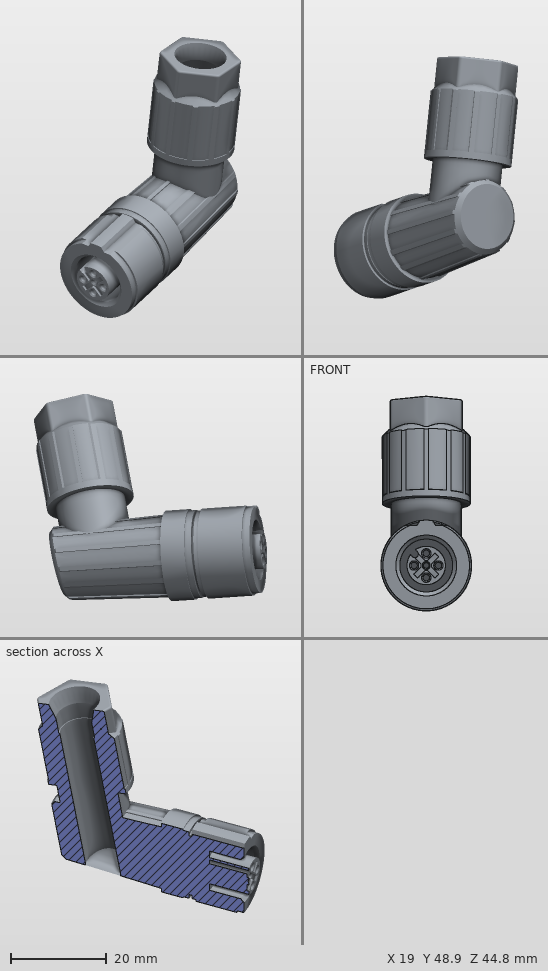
import cadquery as cq
import math


PLUG_RADIUS = 4.0
PIN_OFFSET = 2.55
PIN_HOLE_RADIUS = 0.7
PIN_MOUTH_RADIUS = 1.0
CENTRE_HOLE_RADIUS = 0.6
CENTRE_MOUTH_RADIUS = 0.85
PIN_HOLE_DEPTH = 2.95
CROSS_ANGLES = (45, -45)
CROSS_ARM_WIDTH = 1.1
CROSS_ARM_REACH = 3.15
CROSS_CENTRE_WIDTH = 2.1
CROSS_DEPTH = 0.5
KEY_ANGLE = 45
KEY_WIDTH = 1.45
KEY_FLOOR_RADIUS = 2.65

RING_FRONT = 1.15
RING_BACK = 13.15
FRONT_RIM = 1.55
BACK_RIM = 1.0
RING_RADIUS = 9.5
RIM_RADIUS = 9.05
SOCKET_RADIUS = 5.5
SOCKET_MOUTH_RADIUS = 6.35
SOCKET_DEPTH = 7.8
FLAT_HEIGHT = 8.35
MARKER_TOP_WIDTH = 2.55
MARKER_BASE_WIDTH = 3.9
NECKING_RADIUS = 8.2
NECKING_BACK = 13.65
COLLAR_STEP_RADIUS = 9.2
COLLAR_STEP_BACK = 15.0
COLLAR_BACK = 20.1

BODY_RADIUS = 8.85
BODY_TAPER = 2.3
BODY_LENGTH = 31.75
BODY_END_CHAMFER = 1.2

LEAN = 10.0
OUTLET_Y = 34.55
NECK_RADIUS = 7.35
NUT_RADIUS = 9.2
NUT_BOTTOM = 13.15
NUT_SHOULDER = 27.28
NUT_TOP = 34.45
SHOULDER_TAPER = 45
NUT_BAND = 1.4
HEX_FLATS = 15.05
HEX_CORNER_FILLET = 1.0
HEX_TOP_FILLET = 0.45
BORE_RADIUS = 4.25
BORE_FLOOR_WALL = 0.5
ENTRY_RADIUS = 4.45
ENTRY_DEPTH = 7.35
FUNNEL_RADIUS = 5.47
FUNNEL_DEPTH = 3.5

NUT_BARS = ((0, 0.9), (4.7, 0.95), (7.9, 0.6))
BODY_BARS = ((0, 0.95), (4.25, 0.95), (7.25, 0.7))
CROSS_BAR_WIDTH = 0.9
NUT_PANEL_DEPTH = 0.2
BODY_PANEL_DEPTH = 0.3
RIB_REACH = 2 * RING_RADIUS

OVERLAP = 0.5


def turned(profile):
    """Revolve (radius, Y) points around the Y axis."""
    return cq.Workplane("XY").polyline(profile).close().revolve(360, (0, 0, 0), (0, 1, 0))


def along_y(start):
    """Sketch plane at Y = start: local x is -X, local y is Z and extrusion runs toward +Y."""
    return cq.Workplane(cq.Plane(origin=(0, start, 0), xDir=(-1, 0, 0), normal=(0, 1, 0)))


def outlet_plane(height):
    """Sketch plane square to the outlet axis, height units above the plug axis."""
    lean = math.radians(LEAN)
    axis = cq.Vector(0, math.sin(lean), math.cos(lean))
    origin = cq.Vector(0, OUTLET_Y, 0) + axis * height
    return cq.Workplane(cq.Plane(origin=origin, xDir=(1, 0, 0), normal=axis))


def tapered_bar(plane, offset, size_x, size_y, length, end_scale):
    """Bar along the plane's normal whose section shrinks toward the plane's origin by end_scale."""
    return (
        plane.center(offset, 0)
        .rect(size_x, size_y)
        .workplane(offset=length)
        .center((end_scale - 1) * offset, 0)
        .rect(end_scale * size_x, end_scale * size_y)
        .loft(ruled=True)
    )


def rib_bars(plane, bars, length, end_scale=1.0):
    """Bars parallel to the plane's local y, plus one cross bar along its local x."""
    ribs = tapered_bar(plane, 0, RIB_REACH, CROSS_BAR_WIDTH, length, end_scale)
    for offset, width in bars:
        for side in (1, -1):
            ribs = ribs.union(tapered_bar(plane, side * offset, width, RIB_REACH, length, end_scale))
    return ribs


def make_coupling():
    """Coupling ring, necking and collar, with the socket around the plug."""
    coupling = turned([
        (0, RING_FRONT),
        (RIM_RADIUS, RING_FRONT),
        (RIM_RADIUS, RING_FRONT + FRONT_RIM),
        (RING_RADIUS, RING_FRONT + FRONT_RIM),
        (RING_RADIUS, RING_BACK - BACK_RIM),
        (RIM_RADIUS, RING_BACK - BACK_RIM),
        (RIM_RADIUS, RING_BACK),
        (NECKING_RADIUS, RING_BACK),
        (NECKING_RADIUS, NECKING_BACK),
        (COLLAR_STEP_RADIUS, NECKING_BACK),
        (COLLAR_STEP_RADIUS, COLLAR_STEP_BACK),
        (RING_RADIUS, COLLAR_STEP_BACK),
        (RING_RADIUS, COLLAR_BACK),
        (0, COLLAR_BACK),
    ])
    ring_length = RING_BACK - RING_FRONT
    flat_cut = along_y(RING_FRONT).center(0, FLAT_HEIGHT + RING_RADIUS / 2)
    coupling = coupling.cut(flat_cut.rect(2 * RING_RADIUS, RING_RADIUS).extrude(ring_length))

    marker = (
        along_y(RING_FRONT)
        .polyline([
            (-MARKER_BASE_WIDTH / 2, FLAT_HEIGHT - OVERLAP),
            (-MARKER_BASE_WIDTH / 2, FLAT_HEIGHT),
            (-MARKER_TOP_WIDTH / 2, RING_RADIUS),
            (MARKER_TOP_WIDTH / 2, RING_RADIUS),
            (MARKER_BASE_WIDTH / 2, FLAT_HEIGHT),
            (MARKER_BASE_WIDTH / 2, FLAT_HEIGHT - OVERLAP),
        ])
        .close()
        .extrude(ring_length)
        .intersect(along_y(RING_FRONT).circle(RING_RADIUS).extrude(ring_length))
    )
    mouth_depth = SOCKET_MOUTH_RADIUS - SOCKET_RADIUS
    socket = turned([
        (0, RING_FRONT),
        (SOCKET_MOUTH_RADIUS, RING_FRONT),
        (SOCKET_RADIUS, RING_FRONT + mouth_depth),
        (SOCKET_RADIUS, RING_FRONT + SOCKET_DEPTH),
        (0, RING_FRONT + SOCKET_DEPTH),
    ])
    return coupling.union(marker).cut(socket)


def pin_hole(x, y, z, mouth_radius, hole_radius):
    """Contact hole with a 45 degree countersunk mouth."""
    hole = turned([
        (0, 0),
        (mouth_radius, 0),
        (hole_radius, mouth_radius - hole_radius),
        (hole_radius, PIN_HOLE_DEPTH),
        (0, PIN_HOLE_DEPTH),
    ])
    return hole.translate((x, y, z))


def make_plug():
    """Female insert with five contacts, a cross recess and a key groove."""
    plug_length = RING_FRONT + SOCKET_DEPTH + OVERLAP
    plug = along_y(0).circle(PLUG_RADIUS).extrude(plug_length)

    cross = along_y(0).rect(CROSS_CENTRE_WIDTH, CROSS_CENTRE_WIDTH).extrude(CROSS_DEPTH)
    for turn in CROSS_ANGLES:
        arm = along_y(0).transformed(rotate=(0, 0, turn)).rect(2 * CROSS_ARM_REACH, CROSS_ARM_WIDTH)
        cross = cross.union(arm.extrude(CROSS_DEPTH))
    plug = plug.cut(cross)

    plug = plug.cut(pin_hole(0, CROSS_DEPTH, 0, CENTRE_MOUTH_RADIUS, CENTRE_HOLE_RADIUS))
    for x, z in ((PIN_OFFSET, 0), (-PIN_OFFSET, 0), (0, PIN_OFFSET), (0, -PIN_OFFSET)):
        plug = plug.cut(pin_hole(x, 0, z, PIN_MOUTH_RADIUS, PIN_HOLE_RADIUS))

    key_length = 2 * PLUG_RADIUS
    key = (
        along_y(0)
        .transformed(rotate=(0, 0, KEY_ANGLE))
        .center(KEY_FLOOR_RADIUS + key_length / 2, 0)
        .slot2D(key_length, KEY_WIDTH)
        .extrude(RING_FRONT + SOCKET_DEPTH)
    )
    return plug.cut(key)


def tapered_core(base_radius, length):
    """Cone running back from the collar."""
    start = COLLAR_BACK - OVERLAP
    slope = math.tan(math.radians(BODY_TAPER))
    return turned([
        (0, start),
        (base_radius + OVERLAP * slope, start),
        (base_radius - (length - OVERLAP) * slope, start + length),
        (0, start + length),
    ])


def make_body():
    """Tapered ribbed elbow body, cut off parallel to the outlet axis."""
    end_cut = (
        outlet_plane(0)
        .center(0, NUT_RADIUS + BODY_LENGTH / 2)
        .rect(BODY_LENGTH, BODY_LENGTH)
        .extrude(BODY_LENGTH, both=True)
    )
    body = tapered_core(BODY_RADIUS, BODY_LENGTH).cut(end_cut)
    body = body.faces(">Y").chamfer(BODY_END_CHAMFER)
    end_scale = 1 - BODY_LENGTH * math.tan(math.radians(BODY_TAPER)) / BODY_RADIUS
    rib_plane = along_y(COLLAR_BACK).transformed(rotate=(0, 0, 90))
    ribs = rib_bars(rib_plane, BODY_BARS, BODY_LENGTH, end_scale)
    return body.intersect(tapered_core(BODY_RADIUS - BODY_PANEL_DEPTH, BODY_LENGTH).union(ribs))


def make_nut():
    """Ribbed clamping nut with a conical shoulder and a hexagonal head."""
    grip = outlet_plane(NUT_BOTTOM).circle(NUT_RADIUS).extrude(NUT_SHOULDER - NUT_BOTTOM)
    shoulder_height = (NUT_RADIUS - HEX_FLATS / 2) / math.tan(math.radians(SHOULDER_TAPER)) + OVERLAP
    shoulder = outlet_plane(NUT_SHOULDER).circle(NUT_RADIUS).extrude(shoulder_height, taper=SHOULDER_TAPER)
    band = outlet_plane(NUT_BOTTOM).circle(NUT_RADIUS).extrude(NUT_BAND)
    ribbed_height = NUT_SHOULDER + shoulder_height - NUT_BOTTOM
    core = outlet_plane(NUT_BOTTOM).circle(NUT_RADIUS - NUT_PANEL_DEPTH).extrude(ribbed_height)
    ribs = rib_bars(outlet_plane(NUT_BOTTOM), NUT_BARS, ribbed_height)
    grip = grip.union(shoulder).intersect(core.union(band).union(ribs))

    head = (
        outlet_plane(NUT_BOTTOM)
        .transformed(rotate=(0, 0, 90))
        .polygon(6, HEX_FLATS / math.cos(math.pi / 6))
        .extrude(NUT_TOP - NUT_BOTTOM)
    )
    outlet_axis = outlet_plane(0).plane.zDir
    head = head.edges(cq.selectors.ParallelDirSelector(outlet_axis)).fillet(HEX_CORNER_FILLET)
    head = head.faces(">Z").edges().fillet(HEX_TOP_FILLET)
    return grip.union(head)


def make_outlet_bore():
    """Cable entry: conical funnel, short entry bore, then the main bore down to the body's floor."""
    bore = outlet_plane(0).circle(BORE_RADIUS).extrude(NUT_TOP)
    lower_bore = outlet_plane(0).circle(BORE_RADIUS).extrude(-2 * BODY_RADIUS)
    lower_bore = lower_bore.intersect(tapered_core(BODY_RADIUS - BORE_FLOOR_WALL, BODY_LENGTH))
    entry = outlet_plane(NUT_TOP - ENTRY_DEPTH).circle(ENTRY_RADIUS).extrude(ENTRY_DEPTH)
    funnel = (
        outlet_plane(NUT_TOP - FUNNEL_DEPTH)
        .circle(ENTRY_RADIUS)
        .workplane(offset=FUNNEL_DEPTH)
        .circle(FUNNEL_RADIUS)
        .loft()
    )
    return bore.union(lower_bore).union(entry).union(funnel)


neck = outlet_plane(0).circle(NECK_RADIUS).extrude(NUT_BOTTOM + OVERLAP)
result = (
    make_body()
    .union(make_coupling())
    .union(make_plug())
    .union(neck)
    .union(make_nut())
    .cut(make_outlet_bore())
)